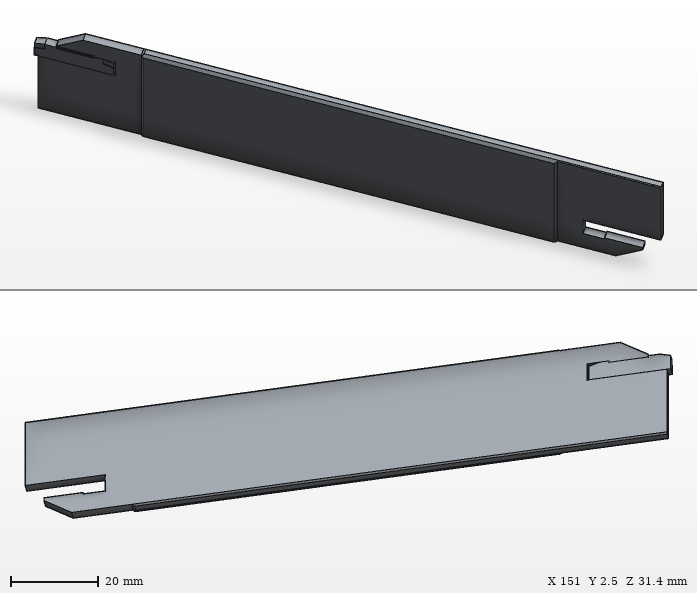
import cadquery as cq

LENGTH = 151.0
THICKNESS = 2.5
HEIGHT = 31.4
INSERT_OVERHANG = 0.9
BLADE_LENGTH = LENGTH - INSERT_OVERHANG
BLADE_CENTER = (INSERT_OVERHANG + BLADE_LENGTH / 2, 0, HEIGHT / 2)

FRONT_BEVEL_DEPTH = 0.9
BACK_BEVEL_DEPTH = 0.3
BEVEL_HEIGHT = 0.5
END_RECESS = 0.6
MIDDLE_START = 26.5
RAMP_START = MIDDLE_START - END_RECESS

SLOT_FLOOR = 20.4
SLOT_END = 19.6
SLOT_ROOF = 25.5
JAW_TIP = 5.3
SEAT_END = 14.5
SEAT_HEIGHT = 25.0
JAW_NOSE_TOP = 26.0
JAW_SLOPE_END = 11.8
HEAD_TOP = 31.0
JAW_BEVEL_DEPTH = 0.3

INSERT_LENGTH = 19.2
CUTTING_EDGE_HEIGHT = 24.6
CHIP_SLOPE_LENGTH = 2.5
RELIEF_OUTER_HEIGHT = 23.1
RELIEF_INNER_HEIGHT = 23.7
RELIEF_DEPTH = 0.2

MARGIN = 1.5


def extrude_along_y(points, start, end):
    """Extrude an XZ outline from Y = start to Y = end."""
    outline = cq.Workplane("XZ", origin=(0, start, 0)).polyline(points).close()
    return outline.extrude(start - end)


def half_turn(shape):
    """Turn a shape to the other end of the blade, about its Y axis."""
    x, y, z = BLADE_CENTER
    return shape.rotate((x, y, z), (x, y + 1, z), 180)


def blade_bar():
    """Full-thickness bar with beveled long edges."""
    back_start = THICKNESS - BACK_BEVEL_DEPTH
    section = [
        (0, BEVEL_HEIGHT),
        (FRONT_BEVEL_DEPTH, 0),
        (back_start, 0),
        (THICKNESS, BEVEL_HEIGHT),
        (THICKNESS, HEIGHT - BEVEL_HEIGHT),
        (back_start, HEIGHT),
        (FRONT_BEVEL_DEPTH, HEIGHT),
        (0, HEIGHT - BEVEL_HEIGHT),
    ]
    bar = cq.Workplane("YZ", origin=(INSERT_OVERHANG, 0, 0))
    return bar.polyline(section).close().extrude(BLADE_LENGTH)


def end_recess():
    """Cutter that thins one end of the bar and ramps up to the middle."""
    plan = [
        (-MARGIN, -MARGIN),
        (MIDDLE_START + MARGIN, -MARGIN),
        (RAMP_START, END_RECESS),
        (-MARGIN, END_RECESS),
    ]
    cutter = cq.Workplane("XY", origin=(0, 0, -MARGIN))
    return cutter.polyline(plan).close().extrude(HEIGHT + 2 * MARGIN)


def head_cutter():
    """Cutter for the pocket, the sloped jaw nose and the lowered head."""
    outline = [
        (-MARGIN, SLOT_FLOOR),
        (SLOT_END, SLOT_FLOOR),
        (SLOT_END, SLOT_ROOF),
        (SEAT_END, SLOT_ROOF),
        (SEAT_END, SEAT_HEIGHT),
        (JAW_TIP, SEAT_HEIGHT),
        (JAW_TIP, JAW_NOSE_TOP),
        (JAW_SLOPE_END, HEAD_TOP),
        (RAMP_START, HEAD_TOP),
        (MIDDLE_START, HEIGHT),
        (MIDDLE_START, HEIGHT + MARGIN),
        (-MARGIN, HEIGHT + MARGIN),
    ]
    return extrude_along_y(outline, -MARGIN, THICKNESS + MARGIN)


def jaw_bevel():
    """Cutter for the beveled front edge of the jaw over the insert seat."""
    section = [
        (END_RECESS, SEAT_HEIGHT),
        (END_RECESS + JAW_BEVEL_DEPTH, SEAT_HEIGHT),
        (END_RECESS, JAW_NOSE_TOP),
    ]
    cutter = cq.Workplane("YZ", origin=(JAW_TIP, 0, 0))
    return cutter.polyline(section).close().extrude(SEAT_END - JAW_TIP)


def make_blade():
    """Double-ended blade; only the left pocket holds an insert."""
    blade = blade_bar()
    for cutter in (end_recess(), head_cutter()):
        blade = blade.cut(cutter).cut(half_turn(cutter))
    return blade.cut(jaw_bevel())


def tip_relief():
    """Cutter for the shallow side relief on the front of the left insert tip."""
    outline = [
        (0, RELIEF_OUTER_HEIGHT),
        (CHIP_SLOPE_LENGTH, RELIEF_INNER_HEIGHT),
        (CHIP_SLOPE_LENGTH, SLOT_ROOF),
        (0, SLOT_ROOF),
    ]
    return extrude_along_y(outline, END_RECESS, END_RECESS + RELIEF_DEPTH)


def make_insert():
    """Cutting insert with a clamping seat and a chip slope at each end."""
    outline = [
        (0, SLOT_FLOOR),
        (INSERT_LENGTH, SLOT_FLOOR),
        (INSERT_LENGTH, CUTTING_EDGE_HEIGHT),
        (INSERT_LENGTH - CHIP_SLOPE_LENGTH, SLOT_ROOF),
        (SEAT_END, SLOT_ROOF),
        (SEAT_END, SEAT_HEIGHT),
        (JAW_TIP, SEAT_HEIGHT),
        (JAW_TIP, SLOT_ROOF),
        (CHIP_SLOPE_LENGTH, SLOT_ROOF),
        (0, CUTTING_EDGE_HEIGHT),
    ]
    insert = extrude_along_y(outline, END_RECESS, THICKNESS)
    left_relief = tip_relief()
    right_relief = left_relief.mirror("YZ").translate((INSERT_LENGTH, 0, 0))
    return insert.cut(left_relief).cut(right_relief)


blade = make_blade()
insert = make_insert()
result = cq.Compound.makeCompound([blade.val(), insert.val()])